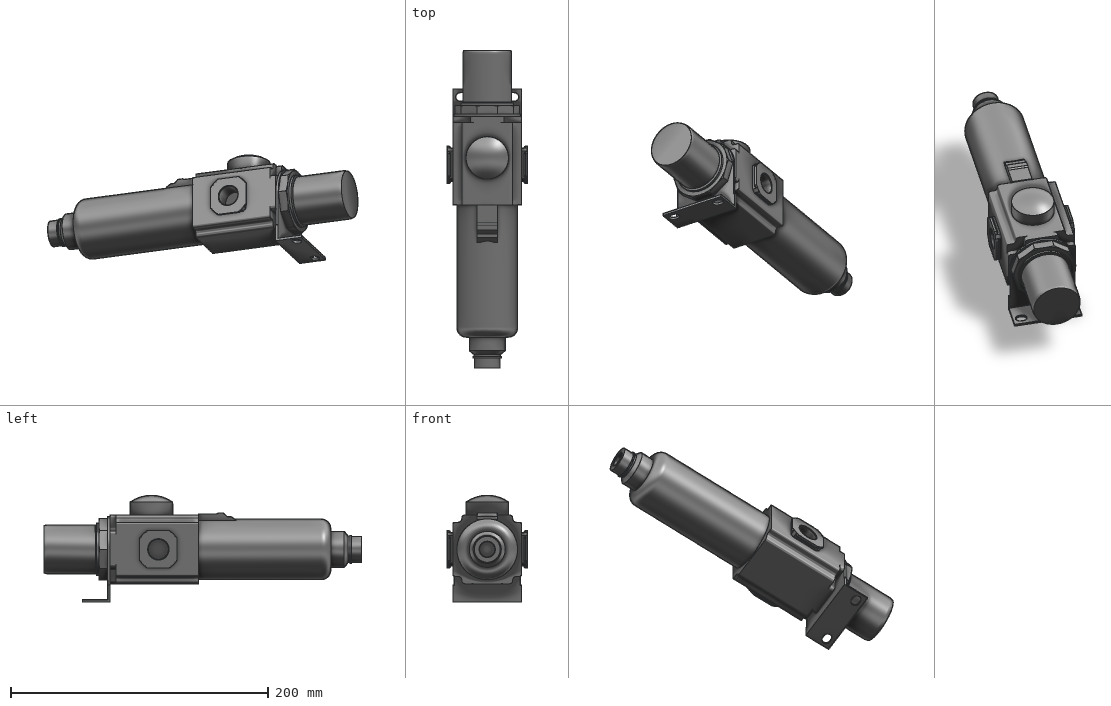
import cadquery as cq
import math


body_half = 26.75
body_front_y = -31.2
recess_y = 33.0
body_back_y = 37.5

corner_wall = 19.8
corner_floor = 21.0
edge_radius = 1.6
recess_wall = 13.2
recess_floor = 14.2
convex_radius = 2.4
concave_radius = 2.9

bracket_thickness = 1.9
bracket_disc_radius = 25.7
bracket_half_width = body_half
bracket_shoulder_z = -27.8
bracket_bottom_z = -41.03
foot_end_y = 59.0
slot_center = (20.0, 52.7)
slot_width = 6.6
slot_length = 8.8

nut_sides = 10
nut_radius = 25.2
nut_end_y = 46.2
nut_chamfer = 0.5
flange_radius = 20.4
flange_end_y = 48.0
neck_radius = 13.4
knob_start_y = 49.0
knob_radius = 19.0
knob_end_y = 89.0
knob_bevel_start_y = 86.4
knob_bevel_middle = (18.85, 87.4)
knob_end_radius = 18.4

gauge_y = 5.4
gauge_radius = 16.6
gauge_bevel_start_z = 35.1
gauge_bevel_middle = (16.55, 36.0)
gauge_rim_radius = 16.45
gauge_rim_z = 36.8
gauge_top_z = 42.0

port_end_x = 31.25
port_plate_thickness = 2.7
port_plate_chamfer = 1.0
port_plate_half = 14.6
port_plate_corner = 5.8
port_neck_half = 13.0
port_neck_corner = 2.3
port_bore_radius = 7.8
port_bore_depth = 15.0
port_bore_chamfer = 0.5

bowl_radius = 23.6
bowl_end_y = -134.0
bowl_fillet = 7.5
collar_radius = 14.0
collar_end_y = -144.4
cone_middle = (12.4, -145.8)
cone_end = (10.4, -147.4)
bead_radius = 10.9
bead_start_y = -149.0
bead_end_y = -150.2
outlet_radius = 10.1
outlet_end_y = -158.0
drain_bore_radius = 5.9
drain_bore_depth = 20.0
drain_bore_chamfer = 0.4

latch_half_width = 7.9
latch_top_z = 27.6
latch_ridge_z = 28.3
latch_step_z = 25.4
latch_tip_z = 23.0
latch_root_z = 18.0
latch_ridge_start_y = (-45.1, -46.6)
latch_ridge_end_y = -50.5
latch_step_y = (-53.6, -56.5)
latch_end_y = -60.2


def extrude_y(sketch_xz, start_y, end_y):
    """Extrude an XZ outline drawn at Y = 0 so that it spans start_y to end_y."""
    return sketch_xz.extrude(-(end_y - start_y)).translate((0, start_y, 0))


def disc_y(radius, start_y, end_y):
    return extrude_y(cq.Workplane("XZ").circle(radius), start_y, end_y)


def notched_block(wall, floor, outer_radius, start_y, end_y):
    """Square block along Y with a rounded rectangular notch on each corner."""
    size = 2 * body_half
    block = extrude_y(cq.Workplane("XZ").rect(size, size), start_y, end_y)
    notch_x = body_half - wall
    notch_z = body_half - floor
    middle_y = (start_y + end_y) / 2
    length = end_y - start_y
    for side_x in (-1, 1):
        for side_z in (-1, 1):
            center = (side_x * (wall + notch_x / 2), middle_y, side_z * (floor + notch_z / 2))
            block = block.cut(cq.Workplane("XY").box(notch_x, length, notch_z).translate(center))

    def edges_at(x, z):
        tolerance = 0.1
        picked = block.edges("|Y")
        points = [(sx * x, sz * z) for sx in (-1, 1) for sz in (-1, 1)]
        return picked.filter(
            lambda e: any(math.hypot(e.Center().x - px, e.Center().z - pz) < tolerance for px, pz in points)
        )

    block = edges_at(wall, floor).fillet(concave_radius)
    block = edges_at(wall, body_half).fillet(convex_radius)
    return edges_at(body_half, floor).fillet(outer_radius)


def make_body():
    main = notched_block(corner_wall, corner_floor, edge_radius, body_front_y, recess_y)
    back = notched_block(recess_wall, recess_floor, convex_radius, recess_y, body_back_y)
    return main.union(back)


def make_bracket():
    plate_end_y = body_back_y + bracket_thickness
    neck_height = -bracket_shoulder_z
    foot_height = bracket_shoulder_z - bracket_bottom_z
    plate = disc_y(bracket_disc_radius, body_back_y, plate_end_y)
    neck = cq.Workplane("XY").box(
        2 * bracket_disc_radius, bracket_thickness, neck_height, centered=(True, False, False)
    ).translate((0, body_back_y, bracket_shoulder_z))
    lower = cq.Workplane("XY").box(
        2 * bracket_half_width, bracket_thickness, foot_height, centered=(True, False, False)
    ).translate((0, body_back_y, bracket_bottom_z))
    foot = cq.Workplane("XY").box(
        2 * bracket_half_width, foot_end_y - body_back_y, bracket_thickness, centered=(True, False, False)
    ).translate((0, body_back_y, bracket_bottom_z))
    slot_x, slot_y = slot_center
    slots = (
        cq.Workplane("XY", origin=(0, 0, bracket_bottom_z))
        .pushPoints([(-slot_x, slot_y), (slot_x, slot_y)])
        .slot2D(slot_length, slot_width)
        .extrude(bracket_thickness)
    )
    return plate.union(neck).union(lower).union(foot.cut(slots))


def make_nut():
    start_y = body_back_y + bracket_thickness
    nut = extrude_y(cq.Workplane("XZ").polygon(nut_sides, 2 * nut_radius), start_y, nut_end_y)
    flat_radius = nut_radius * math.cos(math.pi / nut_sides)
    envelope = (
        cq.Workplane("XY")
        .moveTo(0, start_y)
        .lineTo(nut_radius, start_y)
        .lineTo(nut_radius, nut_end_y - nut_chamfer)
        .lineTo(flat_radius, nut_end_y)
        .lineTo(0, nut_end_y)
        .close()
        .revolve(360, (0, 0, 0), (0, 1, 0))
    )
    return nut.intersect(envelope)


def make_knob():
    return (
        cq.Workplane("XY")
        .moveTo(0, nut_end_y)
        .lineTo(flange_radius, nut_end_y)
        .lineTo(flange_radius, flange_end_y)
        .lineTo(neck_radius, flange_end_y)
        .lineTo(neck_radius, knob_start_y)
        .lineTo(knob_radius, knob_start_y)
        .lineTo(knob_radius, knob_bevel_start_y)
        .lineTo(*knob_bevel_middle)
        .lineTo(knob_end_radius, knob_end_y)
        .lineTo(0, knob_end_y)
        .close()
        .revolve(360, (0, 0, 0), (0, 1, 0))
    )


def make_gauge():
    rise = gauge_top_z - gauge_rim_z
    dome_radius = (gauge_rim_radius**2 + rise**2) / (2 * rise)
    half_angle = math.asin(gauge_rim_radius / dome_radius) / 2
    dome_center_z = gauge_top_z - dome_radius
    middle = (dome_radius * math.sin(half_angle), dome_center_z + dome_radius * math.cos(half_angle))
    return (
        cq.Workplane("XZ")
        .moveTo(0, 0)
        .lineTo(gauge_radius, 0)
        .lineTo(gauge_radius, gauge_bevel_start_z)
        .lineTo(*gauge_bevel_middle)
        .lineTo(gauge_rim_radius, gauge_rim_z)
        .threePointArc(middle, (0, gauge_top_z))
        .close()
        .revolve(360, (0, 0, 0), (0, 1, 0))
        .translate((0, gauge_y, 0))
    )


def make_port_flanges():
    necks = (
        cq.Workplane("YZ")
        .rect(2 * port_neck_half, 2 * port_neck_half)
        .extrude(port_end_x, both=True)
        .edges("|X")
        .chamfer(port_neck_corner)
    )
    plate = (
        cq.Workplane("YZ", origin=(port_end_x - port_plate_thickness, 0, 0))
        .rect(2 * port_plate_half, 2 * port_plate_half)
        .extrude(port_plate_thickness)
        .edges("|X")
        .chamfer(port_plate_corner)
        .faces("<X")
        .chamfer(port_plate_chamfer)
    )
    return necks.union(plate).union(plate.mirror("YZ"))


def make_port_bore(side):
    bottom_x = port_end_x - port_bore_depth
    bore = (
        cq.Workplane("YZ", origin=(bottom_x, 0, 0))
        .circle(port_bore_radius)
        .extrude(port_bore_depth)
    )
    mouth = (
        cq.Workplane("YZ", origin=(port_end_x, 0, 0))
        .circle(port_bore_radius + port_bore_chamfer)
        .extrude(-port_bore_chamfer, taper=45)
    )
    tool = bore.union(mouth)
    return tool if side > 0 else tool.mirror("YZ")


def make_bowl():
    bore_bottom_y = outlet_end_y + drain_bore_depth
    arc_offset = bowl_fillet * (1 - math.sqrt(0.5))
    return (
        cq.Workplane("XY")
        .moveTo(0, body_front_y)
        .lineTo(bowl_radius, body_front_y)
        .lineTo(bowl_radius, bowl_end_y + bowl_fillet)
        .threePointArc(
            (bowl_radius - arc_offset, bowl_end_y + arc_offset),
            (bowl_radius - bowl_fillet, bowl_end_y),
        )
        .lineTo(collar_radius, bowl_end_y)
        .lineTo(collar_radius, collar_end_y)
        .lineTo(*cone_middle)
        .lineTo(*cone_end)
        .lineTo(cone_end[0], bead_start_y)
        .lineTo(bead_radius, bead_start_y)
        .lineTo(bead_radius, bead_end_y)
        .lineTo(outlet_radius, bead_end_y)
        .lineTo(outlet_radius, outlet_end_y)
        .lineTo(drain_bore_radius + drain_bore_chamfer, outlet_end_y)
        .lineTo(drain_bore_radius, outlet_end_y + drain_bore_chamfer)
        .lineTo(drain_bore_radius, bore_bottom_y)
        .lineTo(0, bore_bottom_y)
        .close()
        .revolve(360, (0, 0, 0), (0, 1, 0))
    )


def make_latch():
    ramp_start_y, ramp_end_y = latch_ridge_start_y
    step_start_y, step_end_y = latch_step_y
    profile = [
        (body_front_y, latch_root_z),
        (body_front_y, latch_top_z),
        (ramp_start_y, latch_top_z),
        (ramp_end_y, latch_ridge_z),
        (latch_ridge_end_y, latch_ridge_z),
        (step_start_y, latch_step_z),
        (step_end_y, latch_step_z),
        (latch_end_y, latch_tip_z),
        (latch_end_y, latch_root_z),
    ]
    return cq.Workplane("YZ").polyline(profile).close().extrude(latch_half_width, both=True)


result = (
    make_body()
    .union(make_bracket())
    .union(make_nut())
    .union(make_knob())
    .union(make_gauge())
    .union(make_port_flanges())
    .union(make_bowl())
    .union(make_latch())
)
for side in (-1, 1):
    result = result.cut(make_port_bore(side))